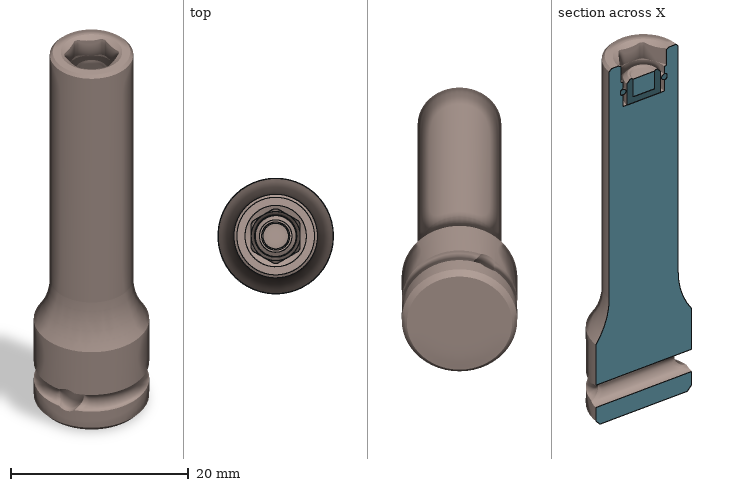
import cadquery as cq
import math

total_height = 48.0

shaft_radius = 4.7
body_radius = 6.505
flare_top = 16.7
flare_radius = 9.6
foot_chamfer_width = 0.6
foot_chamfer_height = 0.65
tip_chamfer = 0.35
groove_height = 4.05
groove_radius = 1.15
cross_hole_diameter = 3.0

hex_across_flats = 5.5
hex_corner_radius = 3.05
hex_depth = 2.4
mouth_radius = 3.45
mouth_angle = 30.0
bore_depth = 5.75

ring_wire_radius = 0.4
ring_height = 44.15
holder_depth = 2.4
holder_radius = 2.3
holder_chamfer = 0.5
magnet_radius = 1.45
magnet_height = 2.4
holder_lip_chamfer = 0.15

bore_radius = hex_across_flats / 2
bore_floor = total_height - bore_depth
hex_floor = total_height - hex_depth
holder_top = total_height - holder_depth
holder_height = holder_top - bore_floor
magnet_top = holder_top - holder_lip_chamfer
flare_run = body_radius - shaft_radius
flare_bottom = flare_top - math.sqrt(flare_radius**2 - (flare_radius - flare_run) ** 2)


def socket_blank():
    """Solid of revolution: foot with a ball groove, body, concave flare and slim shaft."""
    half_sweep = math.asin((flare_top - flare_bottom) / flare_radius) / 2
    flare_middle = (
        shaft_radius + flare_radius * (1 - math.cos(half_sweep)),
        flare_top - flare_radius * math.sin(half_sweep),
    )
    return (
        cq.Workplane("XZ")
        .lineTo(body_radius - foot_chamfer_width, 0)
        .lineTo(body_radius, foot_chamfer_height)
        .lineTo(body_radius, groove_height - groove_radius)
        .threePointArc(
            (body_radius - groove_radius, groove_height),
            (body_radius, groove_height + groove_radius),
        )
        .lineTo(body_radius, flare_bottom)
        .threePointArc(flare_middle, (shaft_radius, flare_top))
        .lineTo(shaft_radius, total_height - tip_chamfer)
        .lineTo(shaft_radius - tip_chamfer, total_height)
        .lineTo(0, total_height)
        .close()
        .revolve(360, (0, 0), (0, 1))
    )


def hex_recess():
    """Hexagonal recess with two corners on the Y axis, all blunted by a cylinder."""
    hexagon = (
        cq.Workplane("XY", origin=(0, 0, hex_floor))
        .polygon(6, hex_across_flats, circumscribed=True)
        .extrude(hex_depth)
    )
    blunting = cq.Workplane("XY", origin=(0, 0, hex_floor)).circle(hex_corner_radius).extrude(hex_depth)
    return hexagon.intersect(blunting)


def mouth_cone():
    """Shallow lead-in cone at the tip."""
    depth = mouth_radius * math.tan(math.radians(mouth_angle))
    return (
        cq.Workplane("XZ")
        .moveTo(0, total_height)
        .lineTo(mouth_radius, total_height)
        .lineTo(0, total_height - depth)
        .close()
        .revolve(360, (0, 0), (0, 1))
    )


def ring_solid():
    """Round wire ring whose outer half sits in a groove in the wall of the bore."""
    return (
        cq.Workplane("XZ")
        .center(bore_radius, ring_height)
        .circle(ring_wire_radius)
        .revolve(360, (-bore_radius, 0), (-bore_radius, 1))
    )


def make_socket():
    """Socket with its hexagonal mouth, bore, ring groove and cross hole."""
    bore = cq.Workplane("XY", origin=(0, 0, bore_floor)).circle(bore_radius).extrude(hex_floor - bore_floor)
    cross_hole = (
        cq.Workplane("XZ")
        .center(0, groove_height)
        .circle(cross_hole_diameter / 2)
        .extrude(body_radius, both=True)
    )
    return (
        socket_blank()
        .cut(mouth_cone())
        .cut(hex_recess())
        .cut(bore)
        .cut(ring_solid())
        .cut(cross_hole)
    )


def make_holder():
    """Cup standing on the floor of the bore, open at the top for the magnet."""
    cup = (
        cq.Workplane("XY", origin=(0, 0, bore_floor))
        .circle(holder_radius)
        .extrude(holder_height)
        .faces(">Z")
        .chamfer(holder_chamfer)
    )
    pocket = (
        cq.Workplane("XY", origin=(0, 0, magnet_top - magnet_height))
        .circle(magnet_radius)
        .extrude(magnet_height + holder_lip_chamfer)
    )
    pocket_rim = cq.selectors.RadiusNthSelector(0)
    return cup.cut(pocket).faces(">Z").edges(pocket_rim).chamfer(holder_lip_chamfer)


def make_magnet():
    """Flat disc that fills the pocket of the holder up to its lip chamfer."""
    return (
        cq.Workplane("XY", origin=(0, 0, magnet_top - magnet_height))
        .circle(magnet_radius)
        .extrude(magnet_height)
    )


socket = make_socket()
retaining_ring = ring_solid()
holder = make_holder()
magnet = make_magnet()

result = cq.Compound.makeCompound([socket.val(), retaining_ring.val(), holder.val(), magnet.val()])